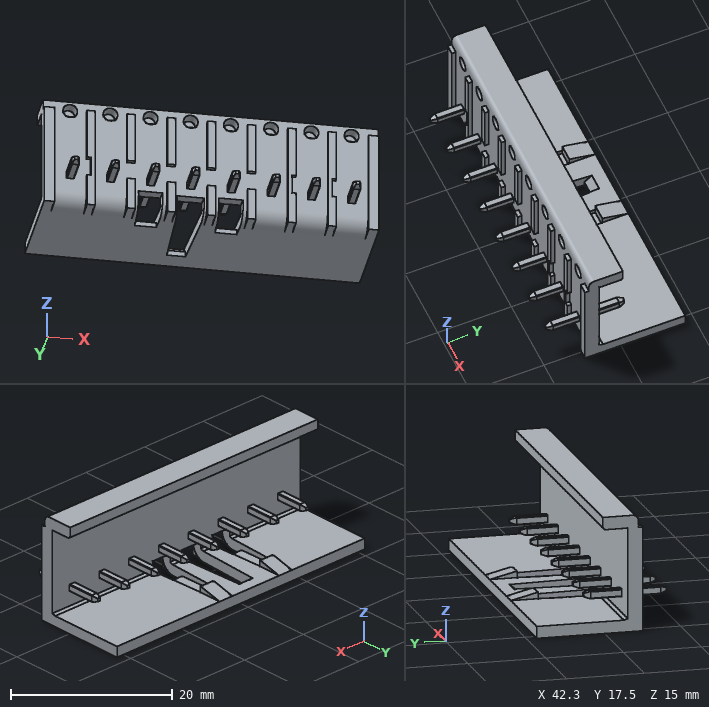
import cadquery as cq

length = 42.25
pitch = 5.05
contact_count = 8

height = 15.0
plate_thickness = 1.55
flange_thickness = 1.6
flange_underside = height - flange_thickness
rib_depth = 0.55
wall_front = rib_depth
wall_back = 1.95
wall_thickness = wall_back - wall_front
plate_end = 13.65
flange_end = 5.15
heel_radius = 1.9
heel_wedge_length = 0.5
heel_wedge_height = 0.15
flange_corner_radius = 0.75
flange_lip_radius = 0.42

rib_width = 1.0
end_rib_width = 1.3
rib_gap_bottom = 4.22
rib_gap_top = 6.75
open_gap_ribs = range(2, 6)

peephole_front_diameter = 1.8
peephole_back_diameter = 1.6

pin_size = 0.97
pin_edge_chamfer = 0.1
pin_height = 4.25
pin_front = -3.85
pin_back = 6.75
pin_tip_size = 0.42
pin_tip_length = 0.8

hook_positions = (2, 4)
hook_width = 2.2
hook_front = 10.1
hook_crest_length = 0.4
hook_height = 2.32
channel_front_width = 3.05
channel_window_top = 2.87
channel_floor_start = 4.22
channel_floor_low = 0.68
channel_floor_high = 0.97

slot_position = 3
slot_front_width = 3.4
slot_end_width = 2.25
slot_window_top = 2.65
slot_end_low = 10.85
slot_end_high = 11.85
slot_bevel_bottom = 0.68


def contact_x(index):
    return (index - (contact_count - 1) / 2) * pitch


def block(x_min, x_max, y_min, y_max, z_min, z_max):
    size = (x_max - x_min, y_max - y_min, z_max - z_min)
    return cq.Workplane("XY").box(*size, centered=False).translate((x_min, y_min, z_min))


def extrude_along_x(points, width, x_center=0.0):
    """Close a (Y, Z) outline and extrude it symmetrically about x_center."""
    outline = cq.Workplane("YZ", origin=(x_center, 0, 0)).polyline(points).close()
    return outline.extrude(width / 2, both=True)


def make_housing():
    profile = [
        (wall_front, 0),
        (plate_end, 0),
        (plate_end, plate_thickness),
        (wall_back + heel_wedge_length, plate_thickness),
        (wall_back, plate_thickness + heel_wedge_height),
        (wall_back, flange_underside),
        (flange_end, flange_underside),
        (flange_end, height),
        (wall_front, height),
    ]
    body = extrude_along_x(profile, length)

    def round_edge(solid, y, z, radius):
        edge = cq.selectors.NearestToPointSelector((0, y, z))
        return solid.edges(edge).fillet(radius)

    body = round_edge(body, wall_front, 0, heel_radius)
    body = round_edge(body, wall_front, height, flange_corner_radius)
    return round_edge(body, flange_end, flange_underside, flange_lip_radius)


def rib_piece(x_min, x_max, z_min, z_max):
    """Piece of rib standing out from the wall; low pieces also square off the rounded heel."""
    piece = block(x_min, x_max, 0, wall_front, z_min, z_max)
    if z_min == 0:
        piece = piece.union(block(x_min, x_max, 0, wall_back, 0, heel_radius))
        piece = piece.union(block(x_min, x_max, 0, wall_front + heel_radius, 0, plate_thickness))
    return piece


def add_ribs(body):
    half = length / 2
    body = body.union(rib_piece(-half, -half + end_rib_width, 0, flange_underside))
    body = body.union(rib_piece(half - end_rib_width, half, 0, flange_underside))
    for number in range(1, contact_count):
        center = contact_x(number) - pitch / 2
        left = center - rib_width / 2
        right = center + rib_width / 2
        body = body.union(rib_piece(left, right, 0, rib_gap_bottom))
        body = body.union(rib_piece(left, right, rib_gap_top, flange_underside))
        if number not in open_gap_ribs:
            side = left if center > 0 else right
            bridge = (min(center, side), max(center, side))
            body = body.union(rib_piece(*bridge, rib_gap_bottom, rib_gap_top))
    return body


def cut_peepholes(body):
    cone = cq.Workplane("XZ", origin=(0, wall_back, 0)).circle(peephole_back_diameter / 2)
    cone = cone.workplane(offset=wall_thickness).circle(peephole_front_diameter / 2).loft()
    for index in range(contact_count):
        body = body.cut(cone.translate((contact_x(index), 0, flange_underside)))
    return body


def tapered_prism(x_center, front_width, back_width, y_back, top):
    """Cutter narrowing from the wall front to y_back."""
    outline = [
        (x_center - front_width / 2, wall_front),
        (x_center + front_width / 2, wall_front),
        (x_center + back_width / 2, y_back),
        (x_center - back_width / 2, y_back),
    ]
    return cq.Workplane("XY").polyline(outline).close().extrude(top)


def add_hook(body, x_center):
    channel = tapered_prism(
        x_center, channel_front_width, hook_width, hook_front, channel_window_top)
    floor = [
        (channel_floor_start, 0),
        (hook_front, 0),
        (hook_front, channel_floor_high),
        (channel_floor_start, channel_floor_low),
    ]
    channel = channel.cut(extrude_along_x(floor, channel_front_width, x_center))
    hook = [
        (hook_front, 0),
        (plate_end, 0),
        (plate_end, plate_thickness),
        (hook_front + hook_crest_length, hook_height),
        (hook_front, hook_height),
    ]
    return body.cut(channel).union(extrude_along_x(hook, hook_width, x_center))


def cut_slot(body):
    x_center = contact_x(slot_position)
    opening = tapered_prism(
        x_center, slot_front_width, slot_end_width, slot_end_high, slot_window_top)
    bevelled_end = [
        (slot_end_low, 0),
        (slot_end_high, 0),
        (slot_end_high, plate_thickness),
        (slot_end_low, slot_bevel_bottom),
    ]
    return body.cut(opening.cut(extrude_along_x(bevelled_end, slot_front_width, x_center)))


def make_pin():
    """Pin on the Y axis, before being moved to its contact position."""
    bar = cq.Workplane("XZ", origin=(0, pin_back, 0)).rect(pin_size, pin_size)
    bar = bar.extrude(pin_back - pin_front).edges("|Y").chamfer(pin_edge_chamfer)
    shank_front = pin_front + pin_tip_length
    shank_back = pin_back - pin_tip_length
    shank = cq.Workplane("XZ", origin=(0, shank_back, 0)).rect(pin_size, pin_size)
    envelope = shank.extrude(shank_back - shank_front)
    for base, offset in ((shank_front, pin_tip_length), (shank_back, -pin_tip_length)):
        tip = cq.Workplane("XZ", origin=(0, base, 0)).rect(pin_size, pin_size)
        tip = tip.workplane(offset=offset).rect(pin_tip_size, pin_tip_size)
        envelope = envelope.union(tip.loft())
    return bar.intersect(envelope)


def add_pins(body):
    pin = make_pin()
    for index in range(contact_count):
        body = body.union(pin.translate((contact_x(index), 0, pin_height)))
    return body


result = make_housing()
result = add_ribs(result)
result = cut_peepholes(result)
for position in hook_positions:
    result = add_hook(result, contact_x(position))
result = cut_slot(result)
result = add_pins(result)